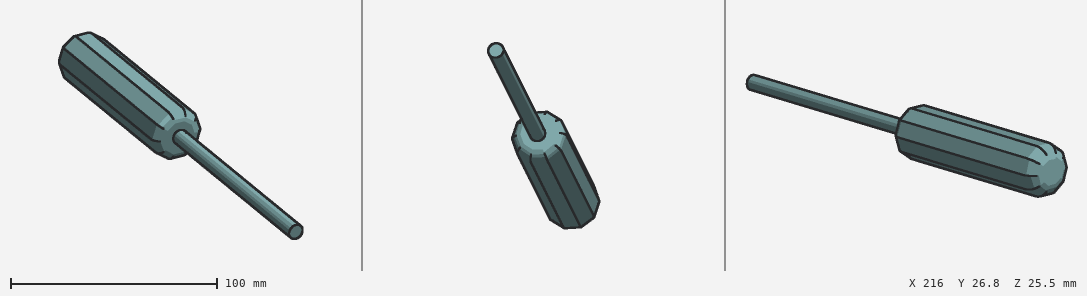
import cadquery as cq

total_length = 216.0
handle_length = 101.5
handle_corner_diameter = 26.8
handle_sides = 10
butt_radius = 7.5
shoulder_radius = 5.0
rod_diameter = 7.5


def make_handle():
    """Ten-sided grip with corners on the Y axis and both ends rounded."""
    grip = (
        cq.Workplane("YZ")
        .polygon(handle_sides, handle_corner_diameter)
        .extrude(handle_length)
    )
    grip = grip.faces("<X").edges().fillet(butt_radius)
    return grip.faces(">X").edges().fillet(shoulder_radius)


def make_rod():
    """Plain round rod from the handle shoulder to the tip."""
    return (
        cq.Workplane("YZ")
        .workplane(offset=handle_length)
        .circle(rod_diameter / 2)
        .extrude(total_length - handle_length)
    )


result = make_handle().union(make_rod())